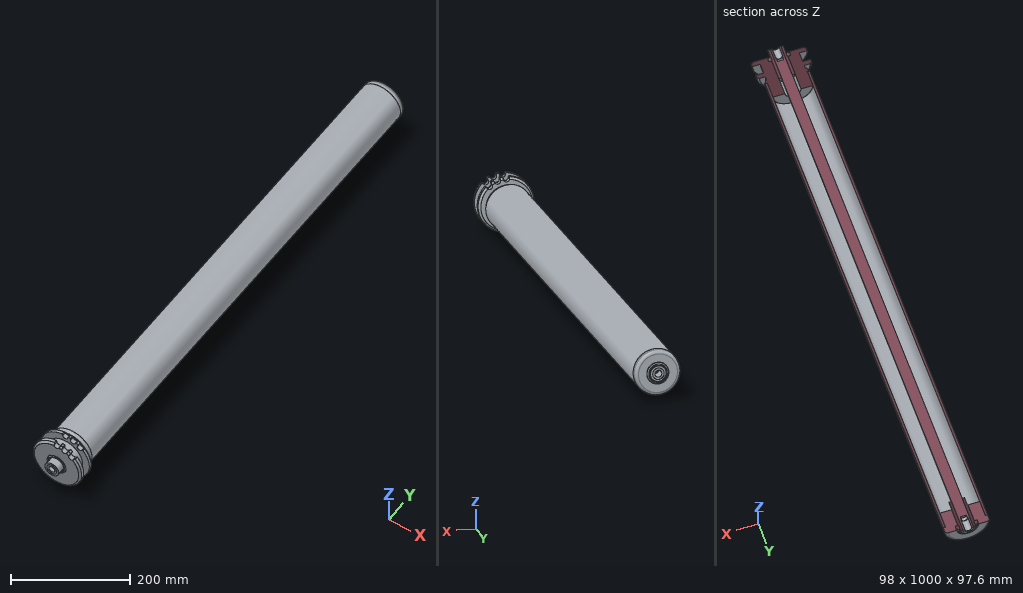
import cadquery as cq

length = 1000.0

shaft_dia = 20.0
bushing_dia = 28.0
bushing_length = 60.0
thread_dia = 12.0
thread_core_dia = 10.0
thread_depth = 20.0
core_depth = 26.0

tube_dia = 80.0
cap_spigot_dia = 70.0
tube_start = 61.0
tube_end = 985.0
cap_fillet = 6.0
drive_cap_face = 55.0
drive_cap_face_dia = 73.0
plain_cap_face = 997.0
spigot_length = 30.0

sprocket_dia = 98.0
sprocket_width = 9.0
sprocket_face = 14.0
sprocket_spacing = 26.0
rim_bevel = 4.0
rim_bevel_width = 3.0
hub_dia = 70.0
pitch_dia = 91.4
seat_dia = 10.0
gap_mouth = 13.0
gap_pitch = 20.0
gap_angles = [90.0 - gap_pitch * i for i in range(3)]

seal_dia = 38.0
seal_tip_dia = 32.0
seal_width = 8.0
seal_cone = 3.0


def rod(diameter, start, end):
    """Cylinder on the roller axis between two Y positions."""
    plane = cq.Plane(origin=(0, start, 0), xDir=(1, 0, 0), normal=(0, 1, 0))
    return cq.Workplane(plane).circle(diameter / 2).extrude(end - start)


def turned(points):
    """Solid of revolution about Y from (radius, Y) points."""
    return cq.Workplane("XY").polyline(points).close().revolve(360, (0, 0, 0), (0, 1, 0))


def make_shaft():
    """Full-length shaft with a stepped threaded hole in each end."""
    shaft = rod(shaft_dia, 0, length)
    for diameter, depth in ((thread_dia, thread_depth), (thread_core_dia, core_depth)):
        shaft = shaft.cut(rod(diameter, 0, depth)).cut(rod(diameter, length - depth, length))
    return shaft


def make_bushing(start):
    """Spacer bushing around the shaft."""
    return rod(bushing_dia, start, start + bushing_length).cut(rod(shaft_dia, 0, length))


def make_seal(face, inward):
    """Seal ring with a conical lip; inward is the Y direction from its face into the roller."""
    bore = bushing_dia / 2
    shoulder = face + inward * seal_cone
    back = face + inward * seal_width
    return turned([
        (bore, face),
        (seal_tip_dia / 2, face),
        (seal_dia / 2, shoulder),
        (seal_dia / 2, back),
        (bore, back),
    ])


def seal_seat(face, inward):
    """Recess that takes a seal ring."""
    back = face + inward * seal_width
    return rod(seal_dia, min(face, back), max(face, back))


def make_tube():
    """Roller tube, carried on the spigots of the two caps."""
    return rod(tube_dia, tube_start, tube_end).cut(rod(cap_spigot_dia, tube_start, tube_end))


def make_plain_cap():
    """Cap with a rounded rim, a spigot in the tube and a seal seat."""
    cap = rod(tube_dia, tube_end, plain_cap_face).faces(">Y").edges().fillet(cap_fillet)
    cap = cap.union(rod(cap_spigot_dia, tube_end - spigot_length, tube_end))
    cap = cap.cut(rod(bushing_dia, 0, length))
    return cap.cut(seal_seat(plain_cap_face, -1))


def sprocket_disc(outer_face, inward):
    """Disc whose rim is bevelled on its outer face."""
    rim = sprocket_dia / 2
    return turned([
        (0, outer_face),
        (rim - rim_bevel, outer_face),
        (rim, outer_face + inward * rim_bevel_width),
        (rim, outer_face + inward * sprocket_width),
        (0, outer_face + inward * sprocket_width),
    ])


def tooth_gap(angle):
    """Round chain-roller seat with a flared mouth, cut through both sprockets."""
    pitch_radius = pitch_dia / 2
    seat_radius = seat_dia / 2
    outside = sprocket_dia / 2
    profile = (
        cq.Workplane("XZ")
        .moveTo(pitch_radius, -seat_radius)
        .threePointArc((pitch_radius - seat_radius, 0), (pitch_radius, seat_radius))
        .lineTo(outside, gap_mouth / 2)
        .lineTo(outside, -gap_mouth / 2)
        .close()
    )
    cutter = profile.extrude(-drive_cap_face)
    return cutter.rotate((0, 0, 0), (0, 1, 0), -angle)


def make_drive_cap():
    """Cap, hub and double sprocket in one piece, with the first three tooth gaps formed."""
    second_outer_face = sprocket_face + sprocket_spacing + sprocket_width
    sprockets = sprocket_disc(sprocket_face, 1).union(sprocket_disc(second_outer_face, -1))
    for angle in gap_angles:
        sprockets = sprockets.cut(tooth_gap(angle))
    rim = turned([
        (0, tube_start),
        (tube_dia / 2, tube_start),
        (drive_cap_face_dia / 2, drive_cap_face),
        (0, drive_cap_face),
    ])
    hub = rod(hub_dia, sprocket_face, drive_cap_face)
    spigot = rod(cap_spigot_dia, drive_cap_face, tube_start + spigot_length)
    cap = sprockets.union(hub).union(rim).union(spigot)
    cap = cap.cut(rod(bushing_dia, 0, length))
    return cap.cut(seal_seat(sprocket_face, 1))


shaft = make_shaft()
tube = make_tube()
drive_cap = make_drive_cap()
plain_cap = make_plain_cap()
bushings = [make_bushing(start) for start in (0, length - bushing_length)]
seals = [make_seal(face, inward) for face, inward in ((sprocket_face, 1), (plain_cap_face, -1))]

result = cq.Compound.makeCompound([
    shaft.val(),
    tube.val(),
    drive_cap.val(),
    plain_cap.val(),
    *[bushing.val() for bushing in bushings],
    *[seal.val() for seal in seals],
])